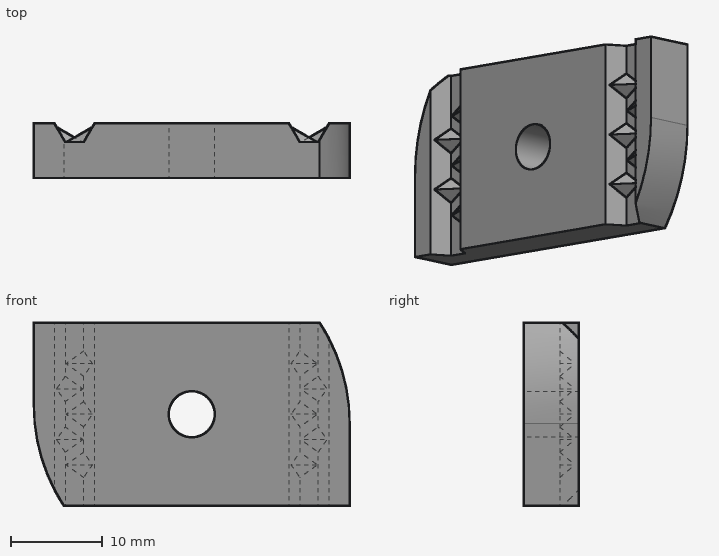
import cadquery as cq
import math

LENGTH = 34.5
THICKNESS = 6.0
HEIGHT = 20.0
HOLE_DIAMETER = 5.0

CORNER_RADIUS = HEIGHT
CORNER_HEIGHT = 11.0

GROOVE_EDGE_DISTANCE = 4.45
GROOVE_FLOOR_WIDTH = 2.0
GROOVE_DEPTH = 2.07
WALL_LEAN = math.radians(30)

TOOTH_COUNT = 5
TOOTH_PITCH = 2.75
TOOTH_TOP_DEPTH = 0.4

half_length = LENGTH / 2
half_height = HEIGHT / 2
back_y = THICKNESS / 2
floor_y = back_y - GROOVE_DEPTH
half_floor = GROOVE_FLOOR_WIDTH / 2
groove_x = half_length - GROOVE_EDGE_DISTANCE


def make_plate():
    def arc_inset(rise):
        return CORNER_RADIUS - math.sqrt(CORNER_RADIUS**2 - rise**2)

    end_x = half_length - arc_inset(CORNER_HEIGHT)
    middle_x = half_length - arc_inset(CORNER_HEIGHT / 2)
    tangent_z = half_height - CORNER_HEIGHT
    middle_z = half_height - CORNER_HEIGHT / 2
    return (
        cq.Workplane("XZ")
        .moveTo(-half_length, half_height)
        .lineTo(end_x, half_height)
        .threePointArc((middle_x, middle_z), (half_length, tangent_z))
        .lineTo(half_length, -half_height)
        .lineTo(-end_x, -half_height)
        .threePointArc((-middle_x, -middle_z), (-half_length, -tangent_z))
        .close()
        .extrude(back_y, both=True)
        .cut(cq.Workplane("XZ").circle(HOLE_DIAMETER / 2).extrude(THICKNESS, both=True))
    )


def make_groove():
    half_mouth = half_floor + GROOVE_DEPTH * math.tan(WALL_LEAN)
    return (
        cq.Workplane("XY")
        .polyline([
            (-half_mouth, back_y),
            (-half_floor, floor_y),
            (half_floor, floor_y),
            (half_mouth, back_y),
        ])
        .close()
        .extrude(half_height, both=True)
    )


def make_tooth(side, z):
    """Tetrahedral wedge whose ridge runs from one groove wall down to the floor."""
    rise = GROOVE_DEPTH - TOOTH_TOP_DEPTH
    ridge_top_x = half_floor + rise * math.tan(WALL_LEAN)
    ridge_foot_x = ridge_top_x - rise / math.tan(WALL_LEAN)
    corners = [
        cq.Vector(side * ridge_top_x, floor_y + rise, z),
        cq.Vector(side * ridge_foot_x, floor_y, z),
        cq.Vector(side * half_floor, floor_y, z - TOOTH_PITCH / 2),
        cq.Vector(side * half_floor, floor_y, z + TOOTH_PITCH / 2),
    ]
    faces = []
    for skipped in range(len(corners)):
        triangle = corners[:skipped] + corners[skipped + 1:]
        faces.append(cq.Face.makeFromWires(cq.Wire.makePolygon(triangle, close=True)))
    return cq.Workplane(obj=cq.Solid.makeSolid(cq.Shell.makeShell(faces)))


def make_toothed_groove():
    groove = make_groove()
    for index in range(TOOTH_COUNT):
        side = 1 if index % 2 == 0 else -1
        z = (index - (TOOTH_COUNT - 1) / 2) * TOOTH_PITCH
        groove = groove.cut(make_tooth(side, z))
    return groove


left_groove = make_toothed_groove().translate((-groove_x, 0, 0))
right_groove = left_groove.rotate((0, 0, 0), (0, 1, 0), 180)

result = make_plate().cut(left_groove).cut(right_groove)